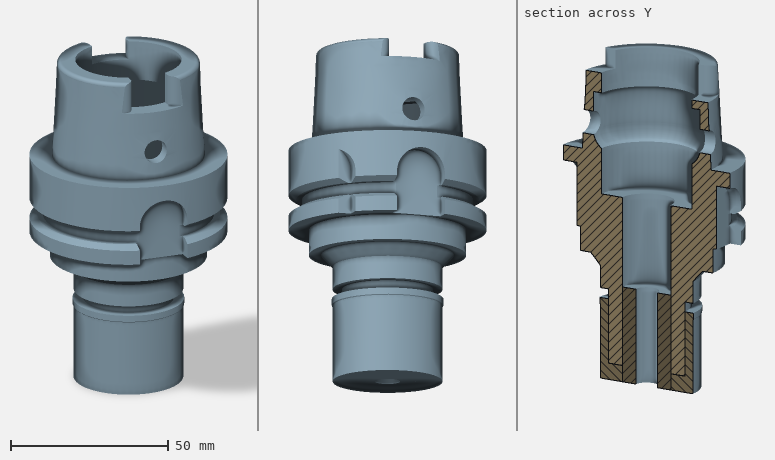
import cadquery as cq
import math

total_height = 107.0
flange_top_z = 75.0
flange_bottom_z = 49.0
shank_bottom_z = 41.0
seat_top_z = 37.1
neck_top_z = 29.9
nut_top_z = 26.8

flange_radius = 63.0 / 2
taper_base_radius = 48.7 / 2
taper_top_radius = 22.7
shank_radius = 25.0
seat_cone_radius = 21.2
seat_radius = 35.0 / 2
neck_radius = 29.0 / 2
rim_fillet = 1.4

groove_upper_z = 60.3
groove_lower_z = 53.7
groove_radius = 27.3
groove_shoulder_radius = 29.1
groove_shoulder_drop = 1.4

socket_lip_radius = 16.9
socket_lip_z = 94.2
socket_radius = 20.0
socket_curve_z = 81.4
socket_curve_radius = 6.4
socket_floor_z = 61.0
cross_hole_diameter = 7.6
cross_hole_z = 83.9

keyway_width = 12.5
keyway_flat_x = 41.4 / 2
keyway_corner_radius = 3.0
left_keyway_depth = 6.1
right_keyway_depth = 10.0

flange_slot_floor_x = 52.8 / 2
flange_slot_radius = 8.1
flange_slot_center_z = 61.7
index_notch_floor_x = 20.2
index_notch_wall_y = 20.0
index_notch_center_z = 62.6

collet_radius = 9.0
collet_hole_diameter = 8.0
collet_length = 31.5

nut_radius = seat_radius
nut_collar_radius = 17.8
nut_collar_height = 2.0
nut_collar_chamfer = nut_collar_radius - nut_radius
nut_front_wall = 5.4


def revolve_profile(points):
    """Turn a closed (radius, height) outline into a solid around the Z axis."""
    return cq.Workplane("YZ").polyline(points).close().revolve(360, (0, 0), (0, 1))


def cylinder(radius, bottom_z, top_z):
    return cq.Workplane("XY").workplane(offset=bottom_z).circle(radius).extrude(top_z - bottom_z)


def holder_blank():
    """Outer shape of the holder, from its taper down to the nose inside the nut."""
    blank = revolve_profile([
        (0, nut_front_wall),
        (neck_radius, nut_front_wall),
        (neck_radius, neck_top_z),
        (seat_radius, neck_top_z),
        (seat_radius, seat_top_z),
        (seat_cone_radius, shank_bottom_z),
        (shank_radius, shank_bottom_z),
        (shank_radius, flange_bottom_z),
        (flange_radius, flange_bottom_z),
        (flange_radius, groove_lower_z),
        (groove_shoulder_radius, groove_lower_z + groove_shoulder_drop),
        (groove_radius, groove_lower_z + groove_shoulder_drop),
        (groove_radius, groove_upper_z - groove_shoulder_drop),
        (groove_shoulder_radius, groove_upper_z - groove_shoulder_drop),
        (flange_radius, groove_upper_z),
        (flange_radius, flange_top_z),
        (taper_base_radius, flange_top_z),
        (taper_top_radius, total_height),
        (0, total_height),
    ])
    return blank.faces(">Z").edges().fillet(rim_fillet)


def socket():
    """Hollow of the taper: a bore with a wider chamber that curves back to the bore below."""
    curve_bottom_z = socket_curve_z - socket_curve_radius
    chamber = cylinder(socket_radius, curve_bottom_z, socket_lip_z)
    chamber = chamber.faces("<Z").edges().fillet(socket_curve_radius)
    return chamber.union(cylinder(socket_lip_radius, socket_floor_z, total_height))


def cross_hole():
    return (
        cq.Workplane("YZ")
        .center(0, cross_hole_z)
        .circle(cross_hole_diameter / 2)
        .extrude(flange_radius, both=True)
    )


def keyway(side, depth):
    """Rim keyway on one side of X: a slot that opens to a flat with rounded corners."""
    half_width = keyway_width / 2
    corner = keyway_corner_radius
    reach = flange_radius
    arc_offset = corner * (1 - math.sqrt(0.5))
    outline = (
        cq.Workplane("XY")
        .workplane(offset=total_height - depth)
        .moveTo(0, -half_width)
        .lineTo(side * (keyway_flat_x - corner), -half_width)
        .threePointArc(
            (side * (keyway_flat_x - arc_offset), -half_width - arc_offset),
            (side * keyway_flat_x, -half_width - corner),
        )
        .lineTo(side * keyway_flat_x, -reach)
        .lineTo(side * reach, -reach)
        .lineTo(side * reach, reach)
        .lineTo(side * keyway_flat_x, reach)
        .lineTo(side * keyway_flat_x, half_width + corner)
        .threePointArc(
            (side * (keyway_flat_x - arc_offset), half_width + arc_offset),
            (side * (keyway_flat_x - corner), half_width),
        )
        .lineTo(0, half_width)
        .close()
    )
    return outline.extrude(depth)


def round_topped_slot(side, floor_x, center_y, center_z):
    """Slot that is open below, cut into the flange along X from one side down to a flat floor."""
    near_y = center_y - flange_slot_radius
    far_y = center_y + flange_slot_radius
    return (
        cq.Workplane("YZ")
        .workplane(offset=side * floor_x)
        .moveTo(near_y, flange_bottom_z)
        .lineTo(near_y, center_z)
        .threePointArc((center_y, center_z + flange_slot_radius), (far_y, center_z))
        .lineTo(far_y, flange_bottom_z)
        .close()
        .extrude(side * flange_radius)
    )


def make_holder():
    body = holder_blank().cut(socket()).cut(cross_hole())
    body = body.cut(cylinder(collet_radius, nut_front_wall, socket_floor_z))
    body = body.cut(keyway(-1, left_keyway_depth)).cut(keyway(1, right_keyway_depth))
    for side in (-1, 1):
        body = body.cut(round_topped_slot(side, flange_slot_floor_x, 0, flange_slot_center_z))
    index_notch_center_y = index_notch_wall_y + flange_slot_radius
    return body.cut(
        round_topped_slot(-1, index_notch_floor_x, index_notch_center_y, index_notch_center_z)
    )


def make_nut():
    """Cup that fits over the nose of the holder, with a raised collar at its rim."""
    collar_bottom_z = nut_top_z - nut_collar_height
    return revolve_profile([
        (collet_radius, 0),
        (nut_radius, 0),
        (nut_radius, collar_bottom_z - nut_collar_chamfer),
        (nut_collar_radius, collar_bottom_z),
        (nut_collar_radius, nut_top_z),
        (neck_radius, nut_top_z),
        (neck_radius, nut_front_wall),
        (collet_radius, nut_front_wall),
    ])


def make_collet():
    """Plain sleeve that fills the nut opening and the lower end of the holder bore."""
    return cylinder(collet_radius, 0, collet_length).cut(
        cylinder(collet_hole_diameter / 2, 0, collet_length)
    )


holder = make_holder()
nut = make_nut()
collet = make_collet()

result = cq.Compound.makeCompound([holder.val(), nut.val(), collet.val()])